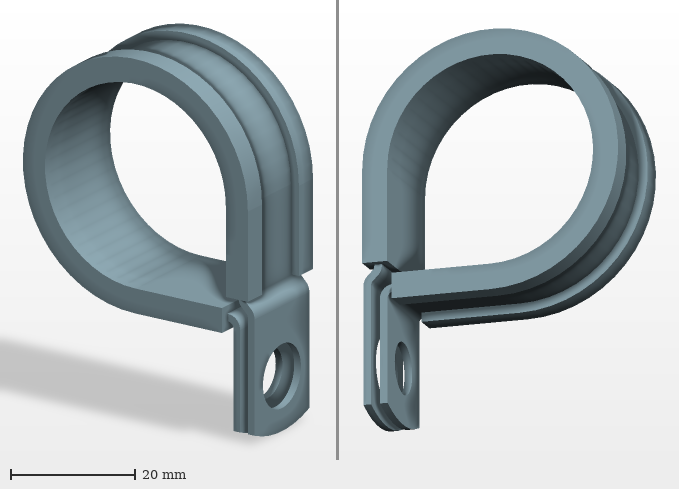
import cadquery as cq
import math


bore_radius = 17.5
cushion_thickness = 4.27
cushion_width = 18.92
groove_width = 10.7
groove_depth = 1.55
upright_end_z = -15.45
floor_end_x = 16.75

strap_thickness = 1.3
strap_width = 15.9
bend_radius = 1.0
jog_angle = math.radians(45)
jog_lead = 0.2
tab_gap = 1.5
tab_tip_z = -40.35
tab_tip_radius = 20.5
inner_hole_diameter = 8.7
outer_hole_diameter = 11.0
bolt_hole_z = -30.9

outer_tab_face_x = 22.06

cushion_radius = bore_radius + cushion_thickness
groove_radius = cushion_radius - groove_depth
strap_radius = groove_radius - strap_thickness / 2
mid_bend_radius = bend_radius + strap_thickness / 2
outer_tab_x = outer_tab_face_x - strap_thickness / 2
inner_tab_x = outer_tab_x - tab_gap - strap_thickness


def loop_outline(radius_outer, radius_inner):
    """Three-quarter ring with straight legs running down (+X side) and along +X (bottom)."""
    diagonal = math.sqrt(0.5)
    return (
        cq.Workplane("XZ")
        .moveTo(radius_outer, upright_end_z)
        .lineTo(radius_outer, 0)
        .threePointArc((-radius_outer * diagonal, radius_outer * diagonal), (0, -radius_outer))
        .lineTo(floor_end_x, -radius_outer)
        .lineTo(floor_end_x, -radius_inner)
        .lineTo(0, -radius_inner)
        .threePointArc((-radius_inner * diagonal, radius_inner * diagonal), (radius_inner, 0))
        .lineTo(radius_inner, upright_end_z)
        .close()
    )


def make_cushion():
    body = loop_outline(cushion_radius, bore_radius).extrude(cushion_width / 2, both=True)
    groove = loop_outline(cushion_radius, groove_radius).extrude(groove_width / 2, both=True)
    return body.cut(groove)


def strap_path():
    """Strap mid-surface: inner tab, bend, loop, 45-degree jog, outer tab."""
    diagonal = math.sqrt(0.5)
    bend_x = inner_tab_x - mid_bend_radius
    bend_z = -strap_radius - mid_bend_radius

    arc_shift = mid_bend_radius * (1 - math.cos(jog_angle))
    arc_drop = mid_bend_radius * math.sin(jog_angle)
    half_shift = mid_bend_radius * (1 - math.cos(jog_angle / 2))
    half_drop = mid_bend_radius * math.sin(jog_angle / 2)
    run_shift = outer_tab_x - strap_radius - 2 * arc_shift
    run_drop = run_shift / math.tan(jog_angle)
    jog_start_z = upright_end_z - jog_lead
    jog_end_z = jog_start_z - 2 * arc_drop - run_drop

    return (
        cq.Workplane("XZ")
        .moveTo(inner_tab_x, tab_tip_z)
        .lineTo(inner_tab_x, bend_z)
        .threePointArc(
            (bend_x + mid_bend_radius * diagonal, bend_z + mid_bend_radius * diagonal),
            (bend_x, -strap_radius),
        )
        .lineTo(0, -strap_radius)
        .threePointArc((-strap_radius * diagonal, strap_radius * diagonal), (strap_radius, 0))
        .lineTo(strap_radius, jog_start_z)
        .threePointArc(
            (strap_radius + half_shift, jog_start_z - half_drop),
            (strap_radius + arc_shift, jog_start_z - arc_drop),
        )
        .lineTo(outer_tab_x - arc_shift, jog_end_z + arc_drop)
        .threePointArc((outer_tab_x - half_shift, jog_end_z + half_drop), (outer_tab_x, jog_end_z))
        .lineTo(outer_tab_x, tab_tip_z)
    )


def bolt_hole_cutter(tab_x, diameter):
    """Cylinder along X that passes through the one tab centred on tab_x."""
    half_length = (strap_thickness + tab_gap) / 2
    return (
        cq.Workplane("YZ", origin=(tab_x, 0, bolt_hole_z))
        .circle(diameter / 2)
        .extrude(half_length, both=True)
    )


def make_strap():
    strip = (
        cq.Workplane("XY", origin=(inner_tab_x, 0, tab_tip_z))
        .rect(strap_thickness, strap_width)
        .sweep(strap_path())
    )

    half_width = strap_width / 2
    tip_rise = tab_tip_radius - math.sqrt(tab_tip_radius**2 - half_width**2)
    tip_corner_z = tab_tip_z + tip_rise
    envelope = (
        cq.Workplane("YZ")
        .moveTo(-half_width, cushion_radius)
        .lineTo(-half_width, tip_corner_z)
        .threePointArc((0, tab_tip_z), (half_width, tip_corner_z))
        .lineTo(half_width, cushion_radius)
        .close()
        .extrude(2 * cushion_radius, both=True)
    )
    inner_hole = bolt_hole_cutter(inner_tab_x, inner_hole_diameter)
    outer_hole = bolt_hole_cutter(outer_tab_x, outer_hole_diameter)
    return strip.intersect(envelope).cut(inner_hole).cut(outer_hole)


result = make_cushion().union(make_strap())